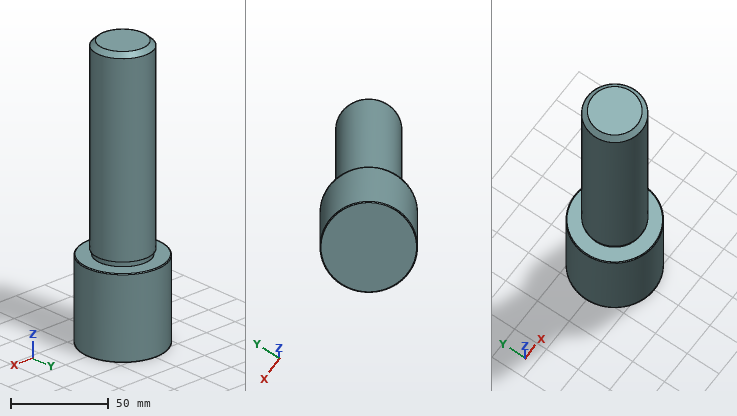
import cadquery as cq

total_height = 170.0
head_diameter = 50.0
head_height = 50.0
head_chamfer = 0.5

shank_diameter = 34.0
neck_diameter = 32.0
neck_height = 3.0
tip_diameter = 28.0
tip_chamfer_height = 2.7

shank_bottom = head_height + neck_height
shank_length = total_height - shank_bottom
tip_chamfer_width = (shank_diameter - tip_diameter) / 2


def cylinder(diameter, height, bottom):
    """Solid cylinder on the Z axis, starting at the given height."""
    return cq.Workplane("XY").workplane(offset=bottom).circle(diameter / 2).extrude(height)


head = cylinder(head_diameter, head_height, 0).edges().chamfer(head_chamfer)

neck = cylinder(neck_diameter, neck_height, head_height)

shank = cylinder(shank_diameter, shank_length, shank_bottom)
shank = shank.faces(">Z").chamfer(tip_chamfer_height, tip_chamfer_width)

result = head.union(neck).union(shank)